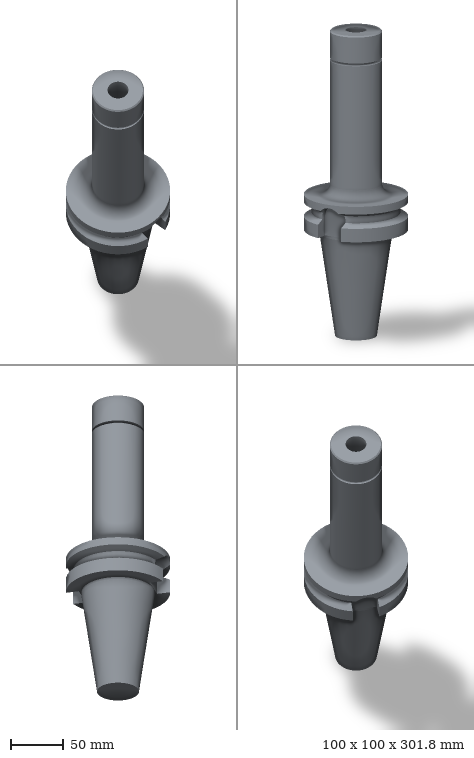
import cadquery as cq

total_length = 301.8

taper_small_diameter = 40.0
taper_small_radius = taper_small_diameter / 2
taper_large_radius = 35.0
taper_length = 101.7

flange_diameter = 100.0
flange_radius = flange_diameter / 2
flange_bottom = 104.7
flange_top = 139.7
lower_rim_top = 118.0
upper_rim_bottom = 132.2
groove_radius = 42.5
groove_bevel_height = 3.5

slot_width = 26.0
slot_top = 136.5
slot_floor_offset = 35.3

nose_radius = 25.0
root_fillet = 10.0
tip_chamfer = 1.2
neck_radius = 20.2
neck_bottom = 272.2
neck_height = 2.7

bore_radius = 10.0
bore_depth = 60.5


def make_body():
    """Revolve the half profile of the shank, flange and nose about Z."""
    neck_top = neck_bottom + neck_height
    profile = (
        cq.Workplane("XZ")
        .lineTo(taper_small_radius, 0)
        .lineTo(taper_large_radius, taper_length)
        .lineTo(taper_large_radius, flange_bottom)
        .lineTo(flange_radius, flange_bottom)
        .lineTo(flange_radius, lower_rim_top)
        .lineTo(groove_radius, lower_rim_top + groove_bevel_height)
        .lineTo(groove_radius, upper_rim_bottom - groove_bevel_height)
        .lineTo(flange_radius, upper_rim_bottom)
        .lineTo(flange_radius, flange_top)
        .lineTo(nose_radius + root_fillet, flange_top)
        .radiusArc((nose_radius, flange_top + root_fillet), root_fillet)
        .lineTo(nose_radius, neck_bottom)
        .lineTo(neck_radius, neck_bottom)
        .lineTo(neck_radius, neck_top)
        .lineTo(nose_radius, neck_top)
        .lineTo(nose_radius, total_length - tip_chamfer)
        .lineTo(nose_radius - tip_chamfer, total_length)
        .lineTo(0, total_length)
        .close()
    )
    return profile.revolve(360, (0, 0, 0), (0, 1, 0))


def make_drive_slot():
    """Round-topped cutter for the drive slot on the +X side."""
    half_width = slot_width / 2
    arc_start = slot_top - half_width
    return (
        cq.Workplane("YZ", origin=(slot_floor_offset, 0, 0))
        .moveTo(-half_width, flange_bottom)
        .lineTo(half_width, flange_bottom)
        .lineTo(half_width, arc_start)
        .threePointArc((0, slot_top), (-half_width, arc_start))
        .close()
        .extrude(flange_radius)
    )


def make_bore():
    """Blind cylindrical bore reaching down from the tip."""
    bore_floor = total_length - bore_depth
    return cq.Workplane("XY").workplane(offset=bore_floor).circle(bore_radius).extrude(bore_depth)


result = make_body().cut(make_bore())
for slot_angle in (0, 180):
    result = result.cut(make_drive_slot().rotate((0, 0, 0), (0, 0, 1), slot_angle))